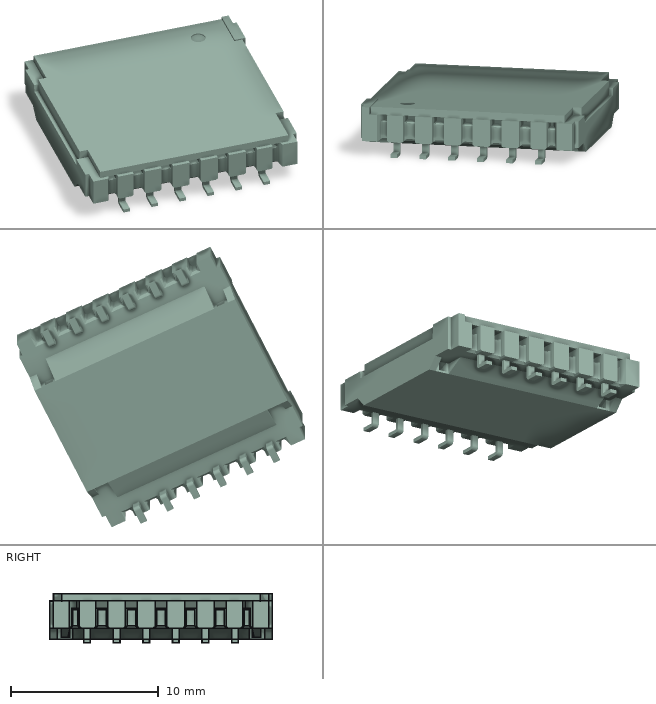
import cadquery as cq
import math

PIN_SPAN = 15.3
BASE_LENGTH = 15.1
TOTAL_HEIGHT = 3.35

SIDE_X = 7.35
END_WALL_X = 6.41
END_WALL_STEP = 0.26
FLANGE_Z = 1.0
KEEL_Z = 0.25

LID_THICKNESS = 0.5
LID_X = 7.1
LID_Y = 6.72
TAB_X = 4.4
TAB_CLEARANCE_BOTTOM = 0.06
TAB_CLEARANCE_TOP = 0.12
CORNER_CLEARANCE = 0.06
MARK_DIAMETER = 1.0
MARK_DEPTH = 0.09
MARK_X, MARK_Y = -5.54, 4.51

KEEL_X = 4.07
KEEL_SLOPE_RUN = 2.0
END_SLOPE_RUN = 1.0
GROOVE_INNER_Y = 5.98
GROOVE_OUTER_Y = 7.02
PASSAGE_INNER_Y = 6.17
PASSAGE_BACK_INNER_Y = 6.3
PASSAGE_OUTER_Y = 6.75
PASSAGE_Z = 0.38

PIN_COUNT = 6
PIN_PITCH = 2.0
PIN_WIDTH = 0.46
PIN_THICKNESS = 0.25
PIN_INNER_X = 6.45
PIN_EMBED = 0.3
GAP_WIDTH = 0.81
CHANNEL_BACK_X = 5.86
LEDGE_Z = 2.34
PANEL_X = 6.8
PANEL_BEVEL = 0.12
CORNER_PANEL_BEVEL = 0.08
LEDGE_BEVEL = 0.08
CORNER_GAP_INNER_Y = 5.52
CORNER_GAP_OUTER_Y = 6.23
CORNER_GAP_BACK_Y = 5.69
FLARE_HEIGHT = 0.17
FLARE_SIDE = 0.12

END_Y = BASE_LENGTH / 2
CORNER_Y = END_Y - END_WALL_STEP
BASE_TOP_Z = TOTAL_HEIGHT - LID_THICKNESS
TAB_Z = BASE_TOP_Z - LID_THICKNESS
TAB_Y = CORNER_Y


def box(x0, x1, y0, y1, z0, z1):
    return cq.Workplane("XY").box(x1 - x0, y1 - y0, z1 - z0, centered=False).translate((x0, y0, z0))


def on_both_sides(shape):
    """Add the copy mirrored to the opposite pin row."""
    return shape.union(shape.mirror("YZ"))


def on_both_ends(shape):
    """Add the copy mirrored to the opposite end of the pin rows."""
    return shape.union(shape.mirror("XZ"))


def prism(points, z0, z1):
    """Extrude an outline of (x, y) points from z0 to z1."""
    return cq.Workplane("XY", origin=(0, 0, z0)).polyline(points).close().extrude(z1 - z0)


def extrude_along_y(points, y0, y1):
    """Extrude an outline of (x, z) points from y0 to y1."""
    return cq.Workplane("XZ", origin=(0, y0, 0)).polyline(points).close().extrude(y0 - y1)


def keel_section(slope_run, half_length):
    """Middle of the base below the flange, with sloping flanks."""
    top_x = KEEL_X + slope_run * (FLANGE_Z - KEEL_Z)
    outline = [(-KEEL_X, KEEL_Z), (KEEL_X, KEEL_Z), (top_x, FLANGE_Z), (-top_x, FLANGE_Z)]
    return extrude_along_y(outline, -half_length, half_length)


def wire_passage():
    """Wedge pocket in a groove end wall, with a sloping back and a drafted inner side."""
    back_x = KEEL_X - KEEL_SLOPE_RUN * (FLANGE_Z - PASSAGE_Z)
    outline = [(KEEL_X, PASSAGE_Z), (KEEL_X, FLANGE_Z), (back_x, PASSAGE_Z)]
    plan = [
        (KEEL_X, PASSAGE_INNER_Y),
        (KEEL_X, PASSAGE_OUTER_Y),
        (back_x, PASSAGE_OUTER_Y),
        (back_x, PASSAGE_BACK_INNER_Y),
    ]
    wedge = extrude_along_y(outline, PASSAGE_INNER_Y, PASSAGE_OUTER_Y)
    return wedge.intersect(prism(plan, PASSAGE_Z, FLANGE_Z))


def make_base():
    body = box(-SIDE_X, SIDE_X, -CORNER_Y, CORNER_Y, FLANGE_Z, BASE_TOP_Z)
    body = body.union(box(-END_WALL_X, END_WALL_X, -END_Y, END_Y, FLANGE_Z, BASE_TOP_Z))

    body = body.union(keel_section(KEEL_SLOPE_RUN, GROOVE_INNER_Y))
    body = body.union(box(-KEEL_X, KEEL_X, -END_Y, END_Y, KEEL_Z, FLANGE_Z))
    end_plates = keel_section(END_SLOPE_RUN, END_Y).cut(
        box(-SIDE_X, SIDE_X, -GROOVE_OUTER_Y, GROOVE_OUTER_Y, KEEL_Z, FLANGE_Z)
    )
    body = body.union(end_plates)
    body = body.cut(on_both_ends(on_both_sides(wire_passage())))

    tab_gap_x = TAB_X + TAB_CLEARANCE_TOP
    corner_y = LID_Y + CORNER_CLEARANCE
    body = body.union(box(-SIDE_X, -tab_gap_x, corner_y, CORNER_Y, BASE_TOP_Z, TOTAL_HEIGHT))
    body = body.union(box(-END_WALL_X, -tab_gap_x, corner_y, END_Y, BASE_TOP_Z, TOTAL_HEIGHT))

    bottom_x = TAB_X + TAB_CLEARANCE_BOTTOM
    notch = [(-bottom_x, TAB_Z), (bottom_x, TAB_Z), (tab_gap_x, BASE_TOP_Z), (-tab_gap_x, BASE_TOP_Z)]
    return body.cut(on_both_ends(extrude_along_y(notch, LID_Y, END_Y)))


def make_lid():
    lid = box(-LID_X, LID_X, -LID_Y, LID_Y, BASE_TOP_Z, TOTAL_HEIGHT)
    tab = box(-TAB_X, TAB_X, LID_Y, TAB_Y, TAB_Z, TOTAL_HEIGHT)
    lid = lid.union(on_both_ends(tab))
    mark = (
        cq.Workplane("XY", origin=(MARK_X, MARK_Y, TOTAL_HEIGHT))
        .circle(MARK_DIAMETER / 2)
        .extrude(-MARK_DEPTH)
    )
    return lid.cut(mark)


def panel_edges(y0, y1):
    """Cutter for the top bevel and the bottom flare of the panel between y0 and y1."""
    bevel = [
        (PANEL_X, LEDGE_Z - LEDGE_BEVEL),
        (PANEL_X, LEDGE_Z),
        (PANEL_X - LEDGE_BEVEL, LEDGE_Z),
    ]
    flare = (
        cq.Workplane("XY", origin=(SIDE_X, (y0 + y1) / 2, FLANGE_Z))
        .rect(2 * (SIDE_X - PANEL_X + FLARE_HEIGHT), y1 - y0 + 2 * (PANEL_BEVEL + FLARE_SIDE))
        .workplane(offset=FLARE_HEIGHT)
        .rect(2 * (SIDE_X - PANEL_X), y1 - y0)
        .loft(ruled=True)
    )
    return flare.union(extrude_along_y(bevel, y0, y1))


def castellation_gap(y):
    """Gap between two castellations: deep above the ledge, closed by a panel below it."""
    half = GAP_WIDTH / 2
    panel_half = half - PANEL_BEVEL
    lower_outline = [
        (SIDE_X, y - half),
        (PANEL_X + PANEL_BEVEL, y - half),
        (PANEL_X, y - panel_half),
        (PANEL_X, y + panel_half),
        (PANEL_X + PANEL_BEVEL, y + half),
        (SIDE_X, y + half),
    ]
    upper = box(CHANNEL_BACK_X, SIDE_X, y - half, y + half, LEDGE_Z, BASE_TOP_Z)
    lower = prism(lower_outline, FLANGE_Z, LEDGE_Z)
    return upper.union(lower).union(panel_edges(y - panel_half, y + panel_half))


def corner_gap():
    """Gap beside a corner block, whose side slants inward towards the back."""
    slant = (CORNER_GAP_OUTER_Y - CORNER_GAP_BACK_Y) / (SIDE_X - CHANNEL_BACK_X)
    bevel_x = PANEL_X + CORNER_PANEL_BEVEL
    bevel_y = CORNER_GAP_OUTER_Y - slant * (SIDE_X - bevel_x)
    panel_outer_y = bevel_y - CORNER_PANEL_BEVEL
    panel_inner_y = CORNER_GAP_INNER_Y + PANEL_BEVEL
    upper_outline = [
        (SIDE_X, CORNER_GAP_INNER_Y),
        (SIDE_X, CORNER_GAP_OUTER_Y),
        (CHANNEL_BACK_X, CORNER_GAP_BACK_Y),
        (CHANNEL_BACK_X, CORNER_GAP_INNER_Y),
    ]
    lower_outline = [
        (SIDE_X, CORNER_GAP_INNER_Y),
        (SIDE_X, CORNER_GAP_OUTER_Y),
        (bevel_x, bevel_y),
        (PANEL_X, panel_outer_y),
        (PANEL_X, panel_inner_y),
        (PANEL_X + PANEL_BEVEL, CORNER_GAP_INNER_Y),
    ]
    upper = prism(upper_outline, LEDGE_Z, BASE_TOP_Z)
    lower = prism(lower_outline, FLANGE_Z, LEDGE_Z)
    return upper.union(lower).union(panel_edges(panel_inner_y, panel_outer_y))


def make_pin(y):
    """L-shaped pin with a rounded heel and a foot pointing outward."""
    radius = PIN_THICKNESS
    diagonal = radius * math.sqrt(0.5)
    heel_x = PIN_INNER_X + radius
    return (
        cq.Workplane("XZ", origin=(0, y + PIN_WIDTH / 2, 0))
        .moveTo(PIN_SPAN / 2, 0)
        .lineTo(PIN_SPAN / 2, PIN_THICKNESS)
        .lineTo(heel_x, PIN_THICKNESS)
        .lineTo(heel_x, FLANGE_Z + PIN_EMBED)
        .lineTo(PIN_INNER_X, FLANGE_Z + PIN_EMBED)
        .lineTo(PIN_INNER_X, radius)
        .threePointArc((heel_x - diagonal, radius - diagonal), (heel_x, 0))
        .close()
        .extrude(PIN_WIDTH)
    )


base = make_base()

for index in range(PIN_COUNT - 1):
    gap_y = (index - (PIN_COUNT - 2) / 2) * PIN_PITCH
    base = base.cut(on_both_sides(castellation_gap(gap_y)))
base = base.cut(on_both_ends(on_both_sides(corner_gap())))

result = base.union(make_lid())
for index in range(PIN_COUNT):
    pin_y = (index - (PIN_COUNT - 1) / 2) * PIN_PITCH
    result = result.union(on_both_sides(make_pin(pin_y)))